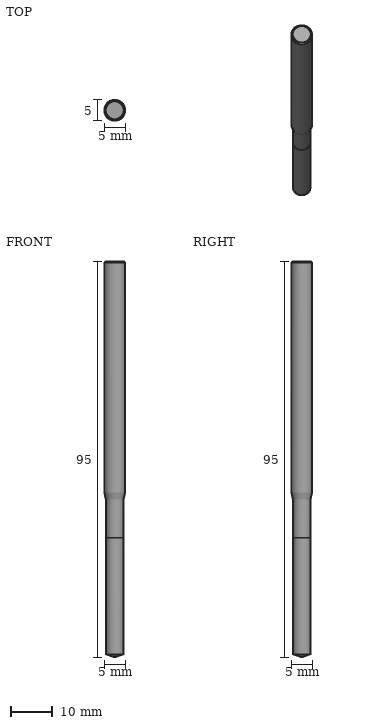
import cadquery as cq
import math

TOTAL_LENGTH = 95.0

SHANK_DIAMETER = 5.0
SHANK_START = 39.5
END_CHAMFER = 0.4

NECK_DIAMETER = 4.3
NECK_TOP = 37.8

CUTTER_DIAMETER = NECK_DIAMETER
CUTTER_TOP = 28.7
POINT_ANGLE = 140.0


def turned_body(profile):
    """Revolve a (radius, height) profile about Z."""
    return cq.Workplane("XZ").polyline(profile).close().revolve(360, (0, 0), (0, 1))


def make_shank():
    """Chamfered round shank with the taper and neck that carry the cutter."""
    shank_radius = SHANK_DIAMETER / 2
    neck_radius = NECK_DIAMETER / 2
    profile = [
        (0, CUTTER_TOP),
        (neck_radius, CUTTER_TOP),
        (neck_radius, NECK_TOP),
        (shank_radius, SHANK_START),
        (shank_radius, TOTAL_LENGTH - END_CHAMFER),
        (shank_radius - END_CHAMFER, TOTAL_LENGTH),
        (0, TOTAL_LENGTH),
    ]
    return turned_body(profile)


def make_cutter():
    """Round cutting section ending in a conical point."""
    radius = CUTTER_DIAMETER / 2
    point_height = radius / math.tan(math.radians(POINT_ANGLE / 2))
    profile = [
        (0, 0),
        (radius, point_height),
        (radius, CUTTER_TOP),
        (0, CUTTER_TOP),
    ]
    return turned_body(profile)


shank = make_shank()
cutter = make_cutter()

result = cq.Compound.makeCompound([shank.val(), cutter.val()])